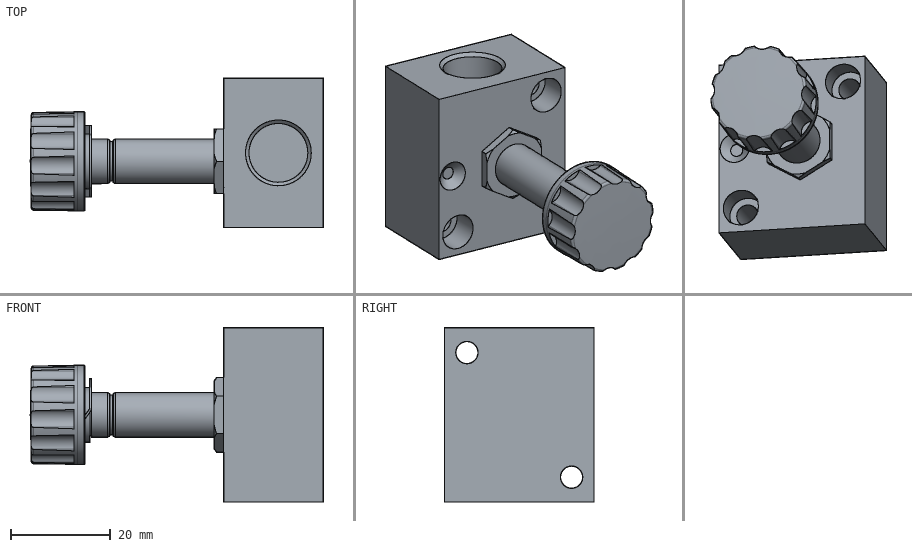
import cadquery as cq
import math


block_length = 20.0
block_width = 30.0
block_height = 35.0
block_offset_y = 1.7
port_x = 11.0
port_diameter = 11.8
port_mouth_diameter = 13.2
port_depth = 12.0
mount_offset_y = 10.5
mount_offset_z = 12.5
mount_diameter = 4.4
mount_head_diameter = 7.2
mount_head_depth = 6.0
cone_offset_y = 11.75
cone_mouth_diameter = 6.0
cone_floor_diameter = 2.5

nut_across_flats = 13.0
nut_thickness = 1.9
nut_face_radius = 6.8
nut_chamfer_length = 0.5

stem_radius = 4.5
groove_x = -22.5
groove_floor_radius = 4.0
groove_shoulder_radius = 4.3
groove_floor_half_width = 0.25
groove_shoulder_half_width = 0.4
groove_half_width = 0.8
collar_radius = 5.5
collar_end_x = -26.8
clip_end_x = -26.45
clip_seat_radius = 4.2

clip_thickness = 0.45
clip_radius = 7.3
clip_bend_z = 1.2
clip_tab_inner_y = 5.5
clip_tab_slope = 1.4

knob_front_x = -38.79
knob_back_x = -27.85
knob_radius = 10.0
knob_front_radius = 9.85
flange_length = 1.5
flange_edge = 0.15
front_edge = 0.5
dome_rise = 0.2
scallop_count = 12
scallop_end_x = -30.0
scallop_radius = 2.3
scallop_floor_radius = 9.0
scallop_edge_fillet = 0.5
land_angle = 10.0


def disc(x_start, x_end, radius, y=0.0, z=0.0):
    """Cylinder along X."""
    return cq.Workplane("YZ", origin=(x_start, y, z)).circle(radius).extrude(x_end - x_start)


def revolve_about_x(profile):
    """Turn a closed (x, radius) profile about the stem axis."""
    return profile.close().revolve(360, (0, 0, 0), (1, 0, 0))


def make_block():
    block = cq.Workplane("XY").box(block_length, block_width, block_height)
    block = block.translate((block_length / 2, block_offset_y, 0))

    port = (
        cq.Workplane("XY", origin=(port_x, block_offset_y, block_height / 2))
        .circle(port_diameter / 2)
        .extrude(-port_depth)
    )
    mouth_chamfer = (port_mouth_diameter - port_diameter) / 2
    block = block.cut(port)
    block = block.faces(">Z").edges("%CIRCLE").chamfer(mouth_chamfer)

    for side in (-1, 1):
        y = block_offset_y + side * mount_offset_y
        z = -side * mount_offset_z
        block = block.cut(disc(0, block_length, mount_diameter / 2, y, z))
        block = block.cut(disc(0, mount_head_depth, mount_head_diameter / 2, y, z))

    cone_mouth_radius = cone_mouth_diameter / 2
    cone_floor_radius = cone_floor_diameter / 2
    cone_depth = cone_mouth_radius - cone_floor_radius
    cone = cq.Solid.makeCone(
        cone_mouth_radius,
        cone_floor_radius,
        cone_depth,
        cq.Vector(0, block_offset_y + cone_offset_y, 0),
        cq.Vector(1, 0, 0),
    )
    return block.cut(cq.Workplane(cone))


def make_nut():
    corner_radius = nut_across_flats / math.sqrt(3)
    nut = (
        cq.Workplane("YZ", origin=(-nut_thickness, 0, 0))
        .transformed(rotate=(0, 0, 90))
        .polygon(6, 2 * corner_radius)
        .extrude(nut_thickness)
    )
    envelope = revolve_about_x(
        cq.Workplane("XY")
        .moveTo(-nut_thickness, 0)
        .lineTo(-nut_thickness, nut_face_radius)
        .lineTo(-nut_thickness + nut_chamfer_length, corner_radius)
        .lineTo(0, corner_radius)
        .lineTo(0, 0)
    )
    return nut.intersect(envelope)


def make_stem():
    return revolve_about_x(
        cq.Workplane("XY")
        .moveTo(knob_back_x, 0)
        .lineTo(knob_back_x, collar_radius)
        .lineTo(collar_end_x, collar_radius)
        .lineTo(collar_end_x, clip_seat_radius)
        .lineTo(clip_end_x, clip_seat_radius)
        .lineTo(clip_end_x, stem_radius)
        .lineTo(groove_x - groove_half_width, stem_radius)
        .lineTo(groove_x - groove_shoulder_half_width, groove_shoulder_radius)
        .lineTo(groove_x - groove_floor_half_width, groove_floor_radius)
        .lineTo(groove_x + groove_floor_half_width, groove_floor_radius)
        .lineTo(groove_x + groove_shoulder_half_width, groove_shoulder_radius)
        .lineTo(groove_x + groove_half_width, stem_radius)
        .lineTo(0, stem_radius)
        .lineTo(0, 0)
    )


def make_clip():
    clip_start_x = clip_end_x - clip_thickness
    upper_half = cq.Workplane("XY", origin=(clip_end_x, 0, clip_bend_z)).box(
        2 * clip_radius, 2 * clip_radius, clip_radius, centered=(True, True, False)
    )
    clip = disc(clip_start_x, clip_end_x, clip_radius).intersect(upper_half)

    tab_fall = clip_tab_slope * (clip_start_x - knob_back_x)
    tab_height = clip_thickness * math.sqrt(1 + clip_tab_slope**2)
    tab_root_bottom_z = clip_bend_z + clip_tab_slope * clip_thickness - tab_height
    tab_length_y = math.sqrt(clip_radius**2 - clip_bend_z**2) - clip_tab_inner_y
    for tab_start_y in (clip_tab_inner_y, -clip_tab_inner_y - tab_length_y):
        tab = (
            cq.Workplane("XZ", origin=(0, tab_start_y, 0))
            .moveTo(clip_start_x, clip_bend_z)
            .lineTo(knob_back_x, clip_bend_z - tab_fall)
            .lineTo(knob_back_x, clip_bend_z - tab_fall - tab_height)
            .lineTo(clip_end_x, tab_root_bottom_z)
            .lineTo(clip_end_x, clip_bend_z)
            .close()
            .extrude(-tab_length_y)
        )
        clip = clip.union(tab)
    return clip


def make_scallop_cutter():
    """Cutter for one grip groove, on the +Z side, leaving rounded land edges."""
    grip_length = scallop_end_x - knob_front_x
    centre_radius = scallop_floor_radius + scallop_radius
    edge_centre_radius = knob_radius - scallop_edge_fillet
    reach = scallop_radius + scallop_edge_fillet
    half_angle = math.acos(
        (centre_radius**2 + edge_centre_radius**2 - reach**2) / (2 * centre_radius * edge_centre_radius)
    )
    edge_y = edge_centre_radius * math.sin(half_angle)
    edge_z = edge_centre_radius * math.cos(half_angle)
    outer_y = knob_radius * math.sin(half_angle)
    outer_z = knob_radius * math.cos(half_angle)
    toward_scallop = scallop_edge_fillet / reach
    inner_y = edge_y * (1 - toward_scallop)
    inner_z = edge_z + (centre_radius - edge_z) * toward_scallop
    outer_direction = math.atan2(outer_z - edge_z, outer_y - edge_y)
    inner_direction = math.atan2(inner_z - edge_z, inner_y - edge_y)
    middle_direction = (outer_direction + inner_direction) / 2
    middle_y = edge_y + scallop_edge_fillet * math.cos(middle_direction)
    middle_z = edge_z + scallop_edge_fillet * math.sin(middle_direction)

    groove = (
        cq.Workplane("YZ", origin=(knob_front_x, 0, 0))
        .moveTo(-outer_y, outer_z)
        .threePointArc((-middle_y, middle_z), (-inner_y, inner_z))
        .threePointArc((0, scallop_floor_radius), (inner_y, inner_z))
        .threePointArc((middle_y, middle_z), (outer_y, outer_z))
        .lineTo(outer_y, centre_radius)
        .lineTo(-outer_y, centre_radius)
        .close()
        .extrude(grip_length)
    )
    return groove


def make_knob():
    flange_x = knob_back_x - flange_length
    rim_x = knob_front_x + dome_rise
    rim_radius = knob_front_radius - front_edge
    round_offset = front_edge * math.sqrt(0.5)
    dome_radius = (rim_radius**2 + dome_rise**2) / (2 * dome_rise)
    half_rim = rim_radius / 2
    half_drop = dome_radius - math.sqrt(dome_radius**2 - half_rim**2)
    knob = revolve_about_x(
        cq.Workplane("XY")
        .moveTo(knob_front_x, 0)
        .threePointArc((knob_front_x + half_drop, half_rim), (rim_x, rim_radius))
        .threePointArc(
            (rim_x + front_edge - round_offset, rim_radius + round_offset),
            (rim_x + front_edge, knob_front_radius),
        )
        .lineTo(flange_x, knob_radius)
        .lineTo(knob_back_x - flange_edge, knob_radius)
        .lineTo(knob_back_x, knob_radius - flange_edge)
        .lineTo(knob_back_x, 0)
    )
    scallop = make_scallop_cutter()
    pitch = 360.0 / scallop_count
    first_turn = pitch / 2 - land_angle
    for index in range(scallop_count):
        turn = first_turn + index * pitch
        knob = knob.cut(scallop.rotate((0, 0, 0), (1, 0, 0), turn))
    return knob


result = make_block()
for piece in (make_nut(), make_stem(), make_clip(), make_knob()):
    result = result.union(piece)